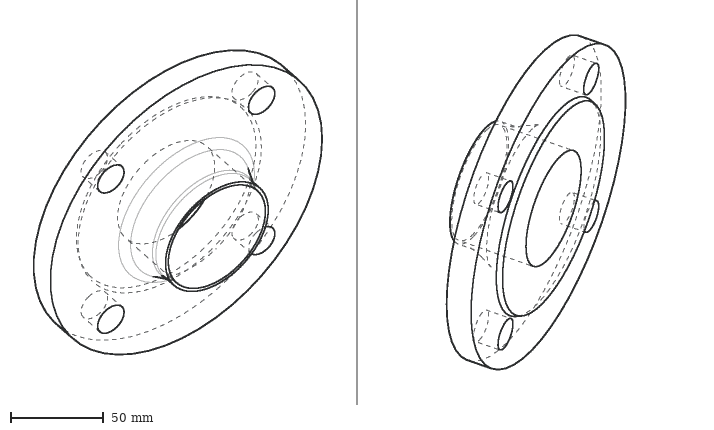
import cadquery as cq

total_length = 45.0

flange_diameter = 185.0
face_height = 3.1
flange_back = 18.0

face_diameter = 122.1
face_base_diameter = 124.7

hub_diameter = 84.7
neck_diameter = 70.0
neck_length = 10.0
neck_start = total_length - neck_length
hub_fillet = 6.0
bore_diameter = 66.0

bolt_count = 4
bolt_diameter = 18.0
bolt_circle_diameter = 145.0
first_bolt_angle = 180.0 / bolt_count


def make_body():
    """Revolve the half section (axial position, radius) about X."""
    return (
        cq.Workplane("XY")
        .lineTo(0, face_diameter / 2)
        .lineTo(face_height, face_base_diameter / 2)
        .lineTo(face_height, flange_diameter / 2)
        .lineTo(flange_back, flange_diameter / 2)
        .lineTo(flange_back, hub_diameter / 2)
        .lineTo(neck_start, neck_diameter / 2)
        .lineTo(total_length, neck_diameter / 2)
        .lineTo(total_length, 0)
        .close()
        .revolve(360, (0, 0, 0), (1, 0, 0))
    )


def round_hub(body):
    """Blend both ends of the tapered hub into the plate and the neck."""
    return body.faces("%CONE").faces(">X").edges("%CIRCLE").fillet(hub_fillet)


def make_bore():
    return cq.Workplane("YZ").circle(bore_diameter / 2).extrude(total_length)


def make_bolt_holes():
    return (
        cq.Workplane("YZ")
        .polarArray(bolt_circle_diameter / 2, first_bolt_angle, 360, bolt_count)
        .circle(bolt_diameter / 2)
        .extrude(flange_back)
    )


result = round_hub(make_body()).cut(make_bore()).cut(make_bolt_holes())